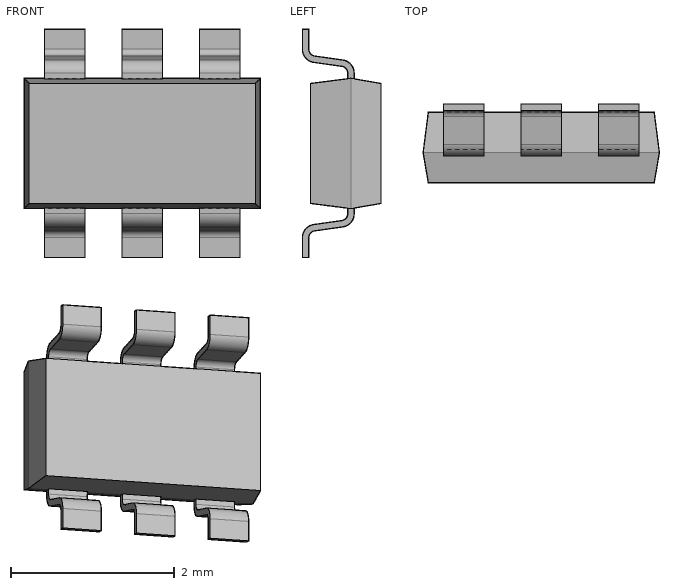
import cadquery as cq
import math

body_length = 2.9
body_height = 1.6
front_depth = 0.37
back_depth = 0.5
face_inset = 0.065

leads_per_side = 3
lead_pitch = 0.95
lead_width = 0.5
lead_thickness = 0.08
lead_embed = 0.087
overall_depth = 0.97
overall_height = 2.8
neck_length = 0.06
bend_radius = 0.125
leg_slope = math.radians(8)


def body_half(depth, direction):
    """Tapered half of the body, from the parting plane to its flat face."""
    return (
        cq.Workplane("XZ")
        .rect(body_length, body_height)
        .workplane(offset=direction * depth)
        .rect(body_length - 2 * face_inset, body_height - 2 * face_inset)
        .loft(ruled=True, combine=True)
    )


def make_lead():
    """Upper lead at X = 0: neck, bend, sloped leg, opposite bend and foot."""
    sin_slope = math.sin(leg_slope)
    cos_slope = math.cos(leg_slope)
    root_z = body_height / 2 - lead_embed
    neck_end_z = body_height / 2 + neck_length
    foot_y = overall_depth - front_depth - lead_thickness / 2

    bend_y = bend_radius * (1 - sin_slope)
    bend_z = bend_radius * cos_slope
    leg_run = foot_y - 2 * bend_y
    leg_rise = leg_run * math.tan(leg_slope)
    leg_end_y = foot_y - bend_y
    leg_end_z = neck_end_z + bend_z + leg_rise
    foot_start_z = leg_end_z + bend_z

    path = (
        cq.Workplane("YZ")
        .moveTo(0, root_z)
        .lineTo(0, neck_end_z)
        .tangentArcPoint((bend_y, neck_end_z + bend_z), relative=False)
        .lineTo(leg_end_y, leg_end_z)
        .tangentArcPoint((foot_y, foot_start_z), relative=False)
        .lineTo(foot_y, overall_height / 2)
    )
    profile = cq.Workplane("XY", origin=(0, 0, root_z)).rect(lead_width, lead_thickness)
    return profile.sweep(path)


result = body_half(front_depth, 1).union(body_half(back_depth, -1))

upper_lead = make_lead()
lower_lead = upper_lead.mirror("XY")
for index in range(leads_per_side):
    lead_x = (index - (leads_per_side - 1) / 2) * lead_pitch
    for lead in (upper_lead, lower_lead):
        result = result.union(lead.translate((lead_x, 0, 0)))